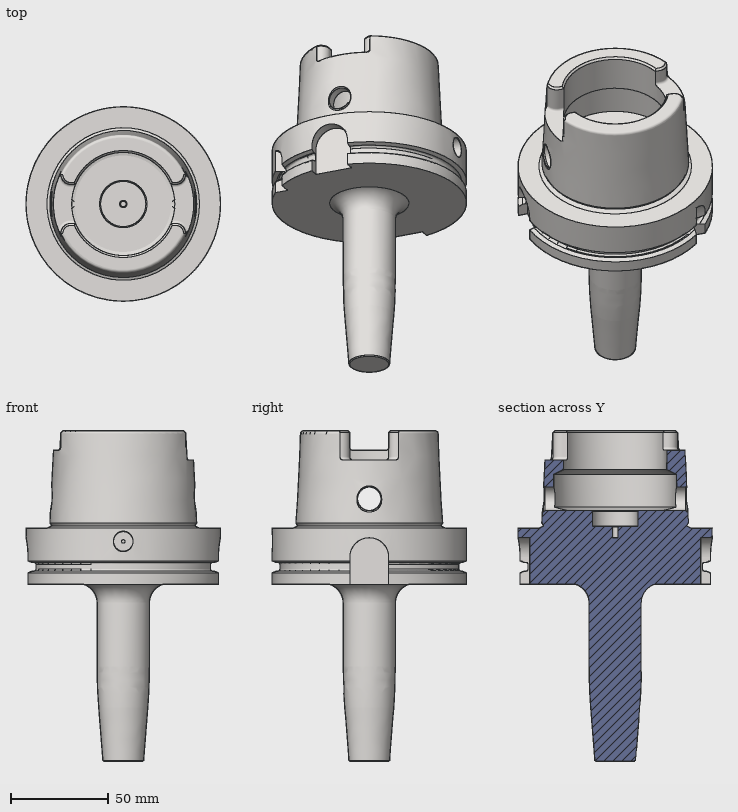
import cadquery as cq
import math

nose_length = 50.0
nose_base_radius = 37.8
taper_slope = 1 / 20
rim_rounding = 1.6
rim_inner_chamfer = 1.0
relief_height = 2.6
relief_depth = 1.0
relief_bottom_height = 1.1
relief_foot_radius = 39.2

cavity_mouth_radius = 26.5
cavity_mouth_depth = 20.0
cavity_radius = 31.5
cavity_shoulder_height = 2.5
cavity_corner_z = 10.7
cavity_floor_radius = 24.8
cavity_floor_z = 9.0
tube_bore_radius = 11.6
tube_bore_depth = 8.0
tube_bore_chamfer = 0.6
coolant_hole_radius = 1.4
coolant_hole_depth = 6.0
coolant_hole_chamfer = 0.5

drive_slot_width = 20.0
drive_slot_flare_radius = 5.0
drive_slot_flare_start = 27.0
drive_slot_depth_minus_x = 10.0
drive_slot_depth_plus_x = 15.0
drive_slot_floor_fillet = 1.5
drive_slot_edge_chamfer = 1.0

cross_hole_radius = 6.0
cross_hole_z = 15.0
cross_hole_countersink_radius = 6.8
cross_hole_countersink_x = 37.0

flange_radius = 50.0
flange_thickness = 29.0
groove_top_z = -16.9
groove_bottom_z = -23.0
groove_floor_radius = 46.0
groove_flank_height = 0.9
groove_flank_depth = 2.3
groove_corner_radius = 0.9

notch_radius = 10.0
notch_center_z = -15.0
keyway_floor_x = 44.0
side_notch_floor_x = 32.0
side_notch_center_y = 41.6

chip_radius = 5.0
chip_chamfer = 0.3
chip_depth = 4.5
chip_z = -6.9
chip_pilot_radius = 0.9
chip_pilot_depth = 1.0

shank_end_z = -119.9
shank_radius = 13.5
neck_fillet = 10.0
neck_bottom_z = -38.5
tip_radius = 10.5
tip_chamfer = 0.5
tip_angle = math.radians(4.5)
blend_half_length = 10.6


def build_body():
    """Solid of revolution: hollow nose, flange and shank."""
    mouth_bottom_z = nose_length - cavity_mouth_depth
    rim_radius = nose_base_radius - taper_slope * (nose_length - rim_rounding - relief_height)
    rounding_center_x = rim_radius - rim_rounding
    rounding_center_z = nose_length - rim_rounding
    rounding_offset = rim_rounding * math.sqrt(0.5)
    rounding_middle = (rounding_center_x + rounding_offset, rounding_center_z + rounding_offset)

    groove_side_radius = flange_radius - groove_flank_depth
    groove_corner_x = groove_floor_radius + groove_corner_radius
    groove_side_top = groove_top_z - groove_flank_height
    groove_side_bottom = groove_bottom_z + groove_flank_height
    groove_floor_top = groove_side_top - groove_corner_radius
    groove_floor_bottom = groove_side_bottom + groove_corner_radius

    neck_center_x = shank_radius + neck_fillet
    neck_rise = -flange_thickness - neck_bottom_z
    neck_top_angle = math.asin(neck_rise / neck_fillet)
    neck_top = (neck_center_x - neck_fillet * math.cos(neck_top_angle), -flange_thickness)
    neck_middle = (
        neck_center_x - neck_fillet * math.cos(neck_top_angle / 2),
        neck_bottom_z + neck_fillet * math.sin(neck_top_angle / 2),
    )

    corner_z = shank_end_z + (shank_radius - tip_radius) / math.tan(tip_angle)
    blend_top = (shank_radius, corner_z + blend_half_length)
    blend_bottom = (
        shank_radius - blend_half_length * math.sin(tip_angle),
        corner_z - blend_half_length * math.cos(tip_angle),
    )
    tip_side_radius = tip_radius + tip_chamfer * math.tan(tip_angle)

    return (
        cq.Workplane("XZ")
        .moveTo(0, cavity_floor_z)
        .lineTo(cavity_floor_radius, cavity_floor_z)
        .lineTo(cavity_radius, cavity_corner_z)
        .lineTo(cavity_radius, mouth_bottom_z - cavity_shoulder_height)
        .lineTo(cavity_mouth_radius, mouth_bottom_z)
        .lineTo(cavity_mouth_radius, nose_length - rim_inner_chamfer)
        .lineTo(cavity_mouth_radius + rim_inner_chamfer, nose_length)
        .lineTo(rounding_center_x, nose_length)
        .threePointArc(rounding_middle, (rim_radius, rounding_center_z))
        .lineTo(nose_base_radius, relief_height)
        .lineTo(nose_base_radius - relief_depth, relief_bottom_height)
        .lineTo(relief_foot_radius, 0)
        .lineTo(flange_radius, 0)
        .lineTo(flange_radius, groove_top_z)
        .lineTo(groove_side_radius, groove_side_top)
        .lineTo(groove_corner_x, groove_side_top)
        .radiusArc((groove_floor_radius, groove_floor_top), -groove_corner_radius)
        .lineTo(groove_floor_radius, groove_floor_bottom)
        .radiusArc((groove_corner_x, groove_side_bottom), -groove_corner_radius)
        .lineTo(groove_side_radius, groove_side_bottom)
        .lineTo(flange_radius, groove_bottom_z)
        .lineTo(flange_radius, -flange_thickness)
        .lineTo(*neck_top)
        .threePointArc(neck_middle, (shank_radius, neck_bottom_z))
        .lineTo(*blend_top)
        .tangentArcPoint(blend_bottom, relative=False)
        .lineTo(tip_side_radius, shank_end_z + tip_chamfer)
        .lineTo(tip_radius - tip_chamfer, shank_end_z)
        .lineTo(0, shank_end_z)
        .close()
        .revolve(360, (0, 0, 0), (0, 1, 0))
    )


def chamfered_bore(plane, radius, depth, chamfer):
    """Cutter for a blind round hole going down from the plane, with a chamfered mouth."""
    hole = cq.Workplane(plane).circle(radius).extrude(-depth)
    mouth = cq.Workplane(plane).circle(radius + chamfer).extrude(-chamfer, taper=45)
    return hole.union(mouth)


def cut_coolant_bores(body):
    """Stepped bore on the axis, in the floor of the cavity."""
    tube_plane = cq.Plane((0, 0, cavity_floor_z))
    hole_plane = cq.Plane((0, 0, cavity_floor_z - tube_bore_depth))
    tube_bore = chamfered_bore(tube_plane, tube_bore_radius, tube_bore_depth, tube_bore_chamfer)
    hole = chamfered_bore(hole_plane, coolant_hole_radius, coolant_hole_depth, coolant_hole_chamfer)
    return body.cut(tube_bore).cut(hole)


def drive_slot_outline(z):
    """Plan of the slot on the +X side, its walls rounded outward towards the taper."""
    half_width = drive_slot_width / 2
    flare_end_x = drive_slot_flare_start + drive_slot_flare_radius
    flare_end_y = half_width + drive_slot_flare_radius
    return (
        cq.Workplane("XY", origin=(0, 0, z))
        .moveTo(0, -half_width)
        .lineTo(drive_slot_flare_start, -half_width)
        .radiusArc((flare_end_x, -flare_end_y), drive_slot_flare_radius)
        .lineTo(flange_radius, -flare_end_y)
        .lineTo(flange_radius, flare_end_y)
        .lineTo(flare_end_x, flare_end_y)
        .radiusArc((drive_slot_flare_start, half_width), drive_slot_flare_radius)
        .lineTo(0, half_width)
        .close()
    )


def drive_slot(depth):
    """Cutter for one drive slot on the +X side."""
    slot = drive_slot_outline(nose_length - depth).extrude(depth)
    slot = slot.faces("<Z").edges().fillet(drive_slot_floor_fillet)
    edge_break = drive_slot_outline(nose_length - drive_slot_edge_chamfer)
    return slot.union(edge_break.extrude(drive_slot_edge_chamfer, taper=-45))


def cut_drive_slots(body):
    """Slots of different depth on the two sides of the rim."""
    slot_plus_x = drive_slot(drive_slot_depth_plus_x)
    slot_minus_x = drive_slot(drive_slot_depth_minus_x).rotate((0, 0, 0), (0, 0, 1), 180)
    return body.cut(slot_plus_x).cut(slot_minus_x)


def cut_cross_hole(body):
    """Hole through both walls of the nose along X, countersunk from outside."""
    hole = (
        cq.Workplane("YZ", origin=(0, 0, cross_hole_z))
        .circle(cross_hole_radius)
        .extrude(flange_radius, both=True)
    )
    countersink = (
        cq.Workplane("YZ", origin=(cross_hole_countersink_x, 0, cross_hole_z))
        .circle(cross_hole_countersink_radius)
        .extrude(-cross_hole_countersink_radius, taper=45)
    )
    return body.cut(hole).cut(countersink).cut(countersink.mirror("YZ"))


def flange_notch(floor_x, center_y):
    """Cutter for a round-topped notch on the +X side, open at the bottom of the flange."""
    left = center_y - notch_radius
    right = center_y + notch_radius
    return (
        cq.Workplane("YZ", origin=(floor_x, 0, 0))
        .moveTo(left, -flange_thickness)
        .lineTo(left, notch_center_z)
        .threePointArc((center_y, notch_center_z + notch_radius), (right, notch_center_z))
        .lineTo(right, -flange_thickness)
        .close()
        .extrude(flange_radius)
    )


def cut_flange_notches(body):
    """Keyways on both X sides and one deeper notch towards -X and +Y."""
    keyway = flange_notch(keyway_floor_x, 0)
    side_notch = flange_notch(side_notch_floor_x, side_notch_center_y)
    body = body.cut(keyway).cut(keyway.mirror("YZ"))
    return body.cut(side_notch.mirror("YZ"))


def cut_chip_pocket(body):
    """Round pocket in the -Y side of the flange, with a small pilot in its floor."""
    mouth = cq.Plane((0, -flange_radius, chip_z), xDir=(1, 0, 0), normal=(0, -1, 0))
    floor = cq.Plane((0, chip_depth - flange_radius, chip_z), xDir=(1, 0, 0), normal=(0, -1, 0))
    pocket = chamfered_bore(mouth, chip_radius, chip_depth, chip_chamfer)
    pilot = cq.Workplane(floor).circle(chip_pilot_radius).extrude(-chip_pilot_depth)
    return body.cut(pocket).cut(pilot)


result = build_body()
result = cut_coolant_bores(result)
result = cut_drive_slots(result)
result = cut_cross_hole(result)
result = cut_flange_notches(result)
result = cut_chip_pocket(result)